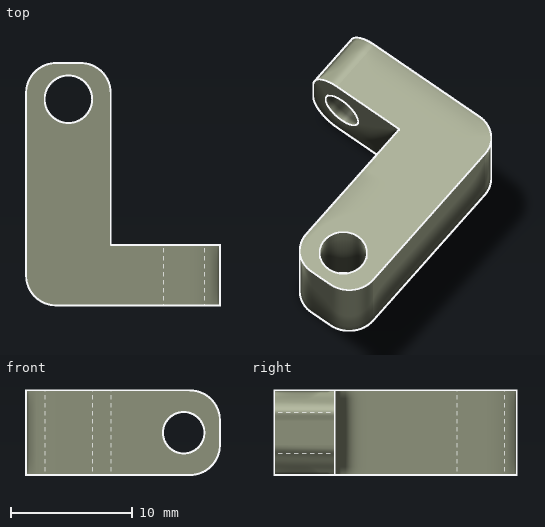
import cadquery as cq

length_x = 16.0
length_y = 20.0
height = 7.0
long_arm_width = 7.0
short_arm_thickness = 5.0
corner_radius = 2.5
hole_end_distance = 3.0
long_arm_hole_diameter = 3.9
short_arm_hole_diameter = 3.4


def l_shaped_body():
    """L-shaped block with its outer corner at the origin."""
    outline = [
        (0, 0),
        (length_x, 0),
        (length_x, short_arm_thickness),
        (long_arm_width, short_arm_thickness),
        (long_arm_width, length_y),
        (0, length_y),
    ]
    return cq.Workplane("XY").polyline(outline).close().extrude(height)


def round_corners(body):
    """Round the elbow, the long arm's end and the short arm's end."""
    body = body.edges("|Z and <X").fillet(corner_radius)
    body = body.edges("|Z and >Y").edges(">X").fillet(corner_radius)
    return body.faces(">X").edges("|Y").fillet(corner_radius)


def long_arm_hole():
    """Vertical through hole near the end of the long arm."""
    return (
        cq.Workplane("XY")
        .center(long_arm_width / 2, length_y - hole_end_distance)
        .circle(long_arm_hole_diameter / 2)
        .extrude(height)
    )


def short_arm_hole():
    """Through hole along Y near the end of the short arm."""
    return (
        cq.Workplane("XZ")
        .center(length_x - hole_end_distance, height / 2)
        .circle(short_arm_hole_diameter / 2)
        .extrude(-short_arm_thickness)
    )


result = round_corners(l_shaped_body()).cut(long_arm_hole()).cut(short_arm_hole())